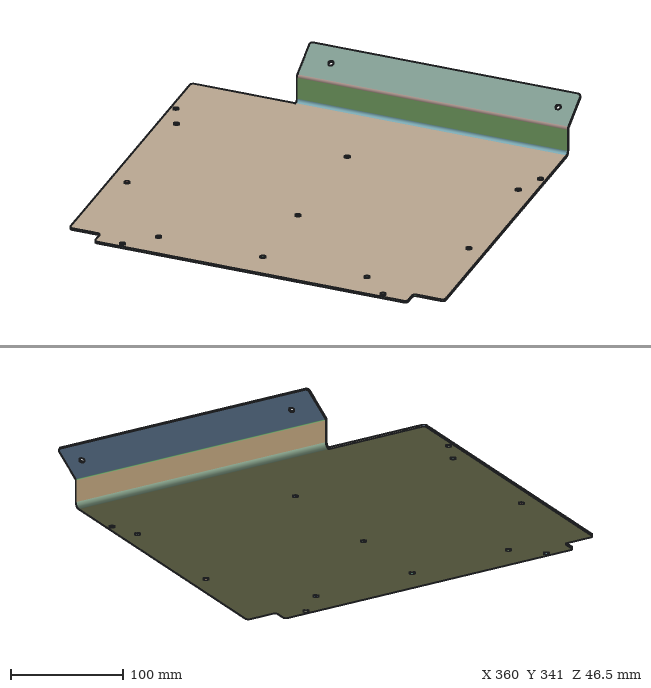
import cadquery as cq
import math

sheet = 2.0
bend_radius = 3.0
corner_radius = 3.0

plate_width = 360.0
wall_front = 308.0
plate_depth = wall_front - bend_radius
notch_width = 30.0
notch_depth = 15.0

wall_width = 260.0
wall_right = plate_width / 2
wall_left = wall_right - wall_width
wall_height = 28.0

flange_tilt = 30.0
flange_length = 37.0

hole_diameter = 5.0
centre_x = 0.0
column_x = 164.0
edge_hole_x = 175.0
front_row_x = 100.0
tab_hole_x = 125.0
tab_hole_y = 5.0
front_row_y = 29.0
middle_row_y = 112.5
rear_row_y = 230.0
edge_hole_y = 256.0
flange_hole_x = (-54.0, column_x)
flange_hole_from_tip = 17.5

cos_tilt = math.cos(math.radians(flange_tilt))
sin_tilt = math.sin(math.radians(flange_tilt))
tip_upper = (wall_front + flange_length * cos_tilt, wall_height + flange_length * sin_tilt)
tip_lower = (tip_upper[0] + sheet * sin_tilt, tip_upper[1] - sheet * cos_tilt)

lower_axis = (plate_depth, sheet + bend_radius)
lower_outer_radius = bend_radius + sheet
lower_bend_angle = 90.0

upper_bend_angle = 90.0 - flange_tilt
upper_setback = bend_radius * math.tan(math.radians(upper_bend_angle / 2))
upper_axis = (wall_front + bend_radius, wall_height - upper_setback)
upper_inner_radius = bend_radius - sheet


def lower_bend(radius, angle):
    """Point on the lower bend, at an angle measured from the plate (0) round to the wall (90)."""
    turn = math.radians(angle)
    return (lower_axis[0] + radius * math.sin(turn), lower_axis[1] - radius * math.cos(turn))


def upper_bend(radius, angle):
    """Point on the upper bend, at an angle measured from the wall (0) round to the flange."""
    turn = math.radians(angle)
    return (upper_axis[0] - radius * math.cos(turn), upper_axis[1] + radius * math.sin(turn))


def make_plate():
    """Flat base plate with a notch in each front corner, rounded except where the bend continues."""
    half = plate_width / 2
    tab = half - notch_width
    return (
        cq.Workplane("XY")
        .polyline([
            (-tab, 0), (tab, 0), (tab, notch_depth), (half, notch_depth),
            (half, plate_depth), (-half, plate_depth), (-half, notch_depth), (-tab, notch_depth),
        ])
        .close()
        .extrude(sheet)
        .edges("|Z except (>X and >Y)")
        .fillet(corner_radius)
    )


def make_wall_and_flange():
    """Lower bend, upright wall, upper bend and tilted flange, as one bent strip."""
    lower_middle = lower_bend_angle / 2
    upper_middle = upper_bend_angle / 2
    strip = (
        cq.Workplane("YZ", origin=(wall_left, 0, 0))
        .moveTo(*lower_bend(lower_outer_radius, 0))
        .threePointArc(
            lower_bend(lower_outer_radius, lower_middle),
            lower_bend(lower_outer_radius, lower_bend_angle),
        )
        .lineTo(*upper_bend(upper_inner_radius, 0))
        .threePointArc(
            upper_bend(upper_inner_radius, upper_middle),
            upper_bend(upper_inner_radius, upper_bend_angle),
        )
        .lineTo(*tip_lower)
        .lineTo(*tip_upper)
        .lineTo(*upper_bend(bend_radius, upper_bend_angle))
        .threePointArc(upper_bend(bend_radius, upper_middle), upper_bend(bend_radius, 0))
        .lineTo(*lower_bend(bend_radius, lower_bend_angle))
        .threePointArc(lower_bend(bend_radius, lower_middle), lower_bend(bend_radius, 0))
        .close()
        .extrude(wall_width)
    )
    tip_y = (tip_upper[0] + tip_lower[0]) / 2
    tip_z = (tip_upper[1] + tip_lower[1]) / 2
    for x in (wall_left, wall_right):
        tip_corner = cq.selectors.NearestToPointSelector((x, tip_y, tip_z))
        strip = strip.edges(tip_corner).fillet(corner_radius)
    return strip


def plate_holes():
    """Cutters for all holes through the base plate."""
    points = [(centre_x, front_row_y), (centre_x, middle_row_y), (centre_x, rear_row_y)]
    for side in (-1, 1):
        points += [
            (side * tab_hole_x, tab_hole_y),
            (side * front_row_x, front_row_y),
            (side * column_x, middle_row_y),
            (side * column_x, rear_row_y),
            (side * edge_hole_x, edge_hole_y),
        ]
    return cq.Workplane("XY").pushPoints(points).circle(hole_diameter / 2).extrude(sheet)


def flange_holes():
    """Cutters for the holes square through the tilted flange."""
    flange_face = cq.Plane(
        origin=(0, tip_upper[0], tip_upper[1]),
        xDir=(1, 0, 0),
        normal=(0, -sin_tilt, cos_tilt),
    )
    points = [(x, -flange_hole_from_tip) for x in flange_hole_x]
    return cq.Workplane(flange_face).pushPoints(points).circle(hole_diameter / 2).extrude(-sheet)


result = make_plate().union(make_wall_and_flange()).cut(plate_holes()).cut(flange_holes())